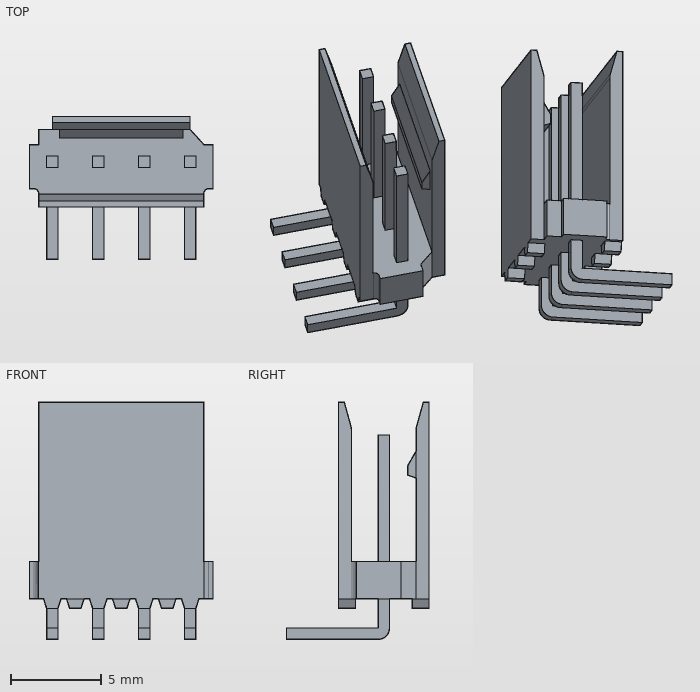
import cadquery as cq


PIN_COUNT = 4
PITCH = 2.54
PIN_SIZE = 0.64
PIN_TOP = 9.06
OVERALL_HEIGHT = 13.12
OVERALL_DEPTH = 7.9

SHROUD_DEPTH = 5.02
SHROUD_HEIGHT = 10.88
WALL_THICKNESS = 0.73
WALL_TIP_THICKNESS = 0.33
WALL_TAPER_HEIGHT = 1.44
FRONT_TAPER_BLEND = 1.0
FRONT_WALL_WIDTH = 9.14
REAR_WALL_WIDTH = (PIN_COUNT - 1) * PITCH

BASE_HEIGHT = 2.07
BASE_WIDTH = PIN_COUNT * PITCH
EAR_REAR_SETBACK = 1.56
EAR_FRONT_SETBACK = 1.01
EAR_FILLET = 0.25

LATCH_WIDTH = 6.8
LATCH_PROJECTION = 0.47
LATCH_TOP = 8.17
LATCH_NOSE_TOP = 7.35
LATCH_NOSE_BOTTOM = 6.84
LATCH_BOTTOM = 6.68

FOOT_HEIGHT = 0.52
FOOT_DEPTH = 0.95
FOOT_TOP_WIDTH = 0.97
FOOT_BOTTOM_WIDTH = PIN_SIZE

Y_REAR = SHROUD_DEPTH / 2
Y_FRONT = -SHROUD_DEPTH / 2
Y_REAR_INNER = Y_REAR - WALL_THICKNESS
Y_LEG_END = Y_REAR - OVERALL_DEPTH
Z_LEG_BOTTOM = SHROUD_HEIGHT - OVERALL_HEIGHT
Z_LEG_TOP = Z_LEG_BOTTOM + PIN_SIZE


def row_positions(count):
    """X positions of a centred row at the pin pitch."""
    return [(i - (count - 1) / 2) * PITCH for i in range(count)]


def extrude_along_x(points, width):
    """Extrude a closed (Y, Z) outline symmetrically about X = 0."""
    return cq.Workplane("YZ").polyline(points).close().extrude(width / 2, both=True)


def make_base():
    """Eared base slab; the right rear corner is cut off at an angle."""
    x_ear = BASE_WIDTH / 2
    x_body = FRONT_WALL_WIDTH / 2
    x_rear_wall = REAR_WALL_WIDTH / 2
    y_ear_rear = Y_REAR - EAR_REAR_SETBACK
    y_ear_front = Y_FRONT + EAR_FRONT_SETBACK
    outline = [
        (-x_body, Y_FRONT),
        (x_body, Y_FRONT),
        (x_body, y_ear_front),
        (x_ear, y_ear_front),
        (x_ear, y_ear_rear),
        (x_body, y_ear_rear),
        (x_rear_wall, Y_REAR_INNER),
        (-x_body, Y_REAR_INNER),
        (-x_body, y_ear_rear),
        (-x_ear, y_ear_rear),
        (-x_ear, y_ear_front),
        (-x_body, y_ear_front),
    ]
    base = cq.Workplane("XY").polyline(outline).close().extrude(BASE_HEIGHT)
    ear_corners = cq.selectors.BoxSelector(
        (-x_body - EAR_FILLET, y_ear_front - EAR_FILLET, 0),
        (x_body + EAR_FILLET, y_ear_front + EAR_FILLET, BASE_HEIGHT),
    )
    return base.edges("|Z").edges(ear_corners).fillet(EAR_FILLET)


def make_wall(side, width):
    """Upright wall with its inner face tapered at the top; side is +1 rear, -1 front."""
    y_outer = side * SHROUD_DEPTH / 2
    y_inner = y_outer - side * WALL_THICKNESS
    y_tip = y_outer - side * WALL_TIP_THICKNESS
    outline = [
        (y_outer, 0),
        (y_outer, SHROUD_HEIGHT),
        (y_tip, SHROUD_HEIGHT),
        (y_inner, SHROUD_HEIGHT - WALL_TAPER_HEIGHT),
        (y_inner, 0),
    ]
    return extrude_along_x(outline, width)


def make_front_wall():
    """Front wall, with the foot of its taper blended smoothly into the inner face."""
    wall = make_wall(-1, FRONT_WALL_WIDTH)
    taper_foot = wall.faces(">Y").edges(">Z")
    return taper_foot.fillet(FRONT_TAPER_BLEND)


def make_latch():
    """Ramped ridge that locks the mating housing; it is rooted inside the rear wall."""
    y_root = Y_REAR_INNER
    y_nose = Y_REAR_INNER - LATCH_PROJECTION
    outline = [
        (y_root, LATCH_TOP),
        (y_nose, LATCH_NOSE_TOP),
        (y_nose, LATCH_NOSE_BOTTOM),
        (y_root, LATCH_BOTTOM),
    ]
    return extrude_along_x(outline, LATCH_WIDTH)


def make_foot(x, y_min):
    """Trapezoidal standoff foot hanging below the base."""
    outline = [
        (x - FOOT_TOP_WIDTH / 2, 0),
        (x + FOOT_TOP_WIDTH / 2, 0),
        (x + FOOT_BOTTOM_WIDTH / 2, -FOOT_HEIGHT),
        (x - FOOT_BOTTOM_WIDTH / 2, -FOOT_HEIGHT),
    ]
    return cq.Workplane("XZ", origin=(0, y_min, 0)).polyline(outline).close().extrude(-FOOT_DEPTH)


def make_pin(x):
    """L-shaped pin, bent forward below the base with a rounded outer corner."""
    y_back = PIN_SIZE / 2
    y_front = -PIN_SIZE / 2
    outline = [
        (y_back, PIN_TOP),
        (y_front, PIN_TOP),
        (y_front, Z_LEG_TOP),
        (Y_LEG_END, Z_LEG_TOP),
        (Y_LEG_END, Z_LEG_BOTTOM),
        (y_back, Z_LEG_BOTTOM),
    ]
    pin = extrude_along_x(outline, PIN_SIZE)
    bend_edge = pin.faces(">Y").edges("<Z")
    return bend_edge.fillet(PIN_SIZE).translate((x, 0, 0))


result = make_base()
result = result.union(make_wall(1, REAR_WALL_WIDTH))
result = result.union(make_front_wall())
result = result.union(make_latch())

for foot_x in row_positions(PIN_COUNT):
    result = result.union(make_foot(foot_x, Y_FRONT))
for foot_x in row_positions(PIN_COUNT - 1):
    result = result.union(make_foot(foot_x, Y_REAR - FOOT_DEPTH))

for pin_x in row_positions(PIN_COUNT):
    result = result.union(make_pin(pin_x))